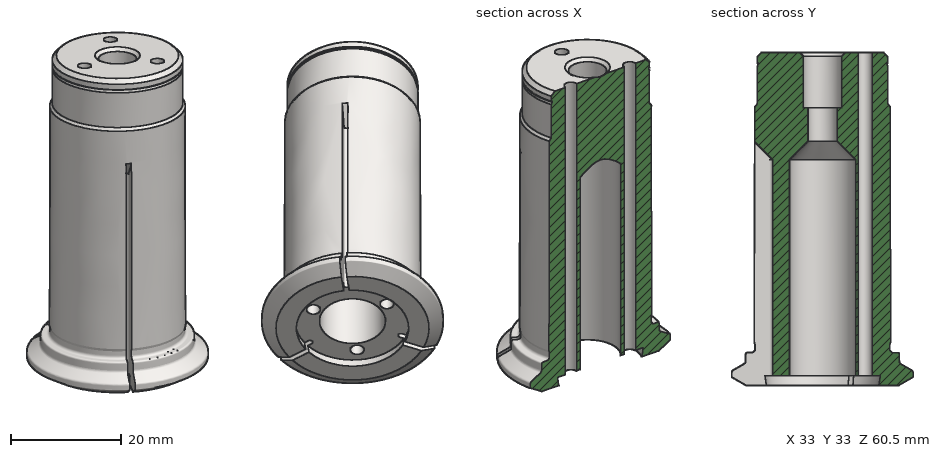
import cadquery as cq
import math

TOTAL_LENGTH = 60.5
FLANGE_RADIUS = 16.5

CONE_ANGLE = math.radians(30)
FRONT_CONE_TOP = 1.5
FLANGE_RIM_TOP = 2.65
FLANGE_ROUND = 0.5
FRONT_EDGE_ROUND = 0.2
COLLAR_RADIUS = 14.0
COLLAR_TOP = 6.0
COLLAR_ROUND = 0.35

NECK_RADIUS = 12.3
NECK_TOP = 7.45
NECK_ROUND = 0.6
BODY_BOTTOM = 7.95
BODY_BOTTOM_RADIUS = 12.45
BODY_TOP = 50.65
BODY_TOP_RADIUS = 12.33

HEAD_RADIUS = 23.8 / 2
HEAD_BOTTOM = 51.2
HEAD_CHAMFER = 0.8
HEAD_GROOVE_BOTTOM = 58.0
HEAD_GROOVE_TOP = 58.55
HEAD_GROOVE_DEPTH = 0.2

SHANK_BORE_RADIUS = 12.0 / 2
SHANK_BORE_DEPTH = 41.0
COOLANT_BORE_RADIUS = 5.2 / 2
SCREW_BORE_RADIUS = 6.92 / 2
SCREW_BORE_DEPTH = 10.0
SCREW_CHAMFER_RADIUS = 8.2 / 2

RECESS_MOUTH_RADIUS = 20.4 / 2
RECESS_FLOOR_RADIUS = 20.92 / 2
RECESS_DEPTH = 1.75

COUNT = 3
HOLE_RADIUS = 2.5 / 2
HOLE_CIRCLE_RADIUS = 7.75
FIRST_HOLE_ANGLE = 0
SLOT_WIDTH = 1.0
SLOT_FLOOR_RADIUS = 9.1
SLOT_FLOOR_TOP = 41.0
FIRST_SLOT_ANGLE = 60


def make_body():
    """Revolved outer shape, with the edges of the flange and collar rounded."""
    slope = math.tan(CONE_ANGLE)
    front_radius = FLANGE_RADIUS - FRONT_CONE_TOP / slope
    collar_bottom = FLANGE_RIM_TOP + (FLANGE_RADIUS - COLLAR_RADIUS) * slope
    profile = (
        cq.Workplane("XZ")
        .lineTo(front_radius, 0)
        .lineTo(FLANGE_RADIUS, FRONT_CONE_TOP)
        .lineTo(FLANGE_RADIUS, FLANGE_RIM_TOP)
        .lineTo(COLLAR_RADIUS, collar_bottom)
        .lineTo(COLLAR_RADIUS, COLLAR_TOP)
        .lineTo(NECK_RADIUS, COLLAR_TOP)
        .lineTo(NECK_RADIUS, NECK_TOP)
        .lineTo(BODY_BOTTOM_RADIUS, BODY_BOTTOM)
        .lineTo(BODY_TOP_RADIUS, BODY_TOP)
        .lineTo(HEAD_RADIUS, HEAD_BOTTOM)
        .lineTo(HEAD_RADIUS, HEAD_GROOVE_BOTTOM)
        .lineTo(HEAD_RADIUS - HEAD_GROOVE_DEPTH, HEAD_GROOVE_TOP)
        .lineTo(HEAD_RADIUS, HEAD_GROOVE_TOP)
        .lineTo(HEAD_RADIUS, TOTAL_LENGTH - HEAD_CHAMFER)
        .lineTo(HEAD_RADIUS - HEAD_CHAMFER, TOTAL_LENGTH)
        .lineTo(0, TOTAL_LENGTH)
        .close()
    )
    body = profile.revolve(360, (0, 0), (0, 1))
    roundings = [
        (FLANGE_RADIUS, FRONT_CONE_TOP, FRONT_EDGE_ROUND),
        (FLANGE_RADIUS, FLANGE_RIM_TOP, FLANGE_ROUND),
        (COLLAR_RADIUS, collar_bottom, FLANGE_ROUND),
        (COLLAR_RADIUS, COLLAR_TOP, COLLAR_ROUND),
        (NECK_RADIUS, COLLAR_TOP, NECK_ROUND),
    ]
    for edge_radius, height, rounding in roundings:
        body = round_edge(body, edge_radius, height, rounding)
    return body


def round_edge(body, edge_radius, height, rounding):
    """Fillet the circular edge of the given radius at the given height."""
    margin = 0.01
    outer_box = centered_box(edge_radius + margin, height, margin)
    inner_box = centered_box(edge_radius - margin, height, margin)
    return body.edges(outer_box - inner_box).fillet(rounding)


def centered_box(half_width, height, half_thickness):
    """Selector for whatever lies in a flat square box centred on the axis."""
    return cq.selectors.BoxSelector(
        (-half_width, -half_width, height - half_thickness),
        (half_width, half_width, height + half_thickness),
        boundingbox=True,
    )


def make_bores():
    cone_top = SHANK_BORE_DEPTH + SHANK_BORE_RADIUS - COOLANT_BORE_RADIUS
    screw_floor = TOTAL_LENGTH - SCREW_BORE_DEPTH
    screw_chamfer = SCREW_CHAMFER_RADIUS - SCREW_BORE_RADIUS
    profile = (
        cq.Workplane("XZ")
        .lineTo(RECESS_MOUTH_RADIUS, 0)
        .lineTo(RECESS_FLOOR_RADIUS, RECESS_DEPTH)
        .lineTo(SHANK_BORE_RADIUS, RECESS_DEPTH)
        .lineTo(SHANK_BORE_RADIUS, SHANK_BORE_DEPTH)
        .lineTo(COOLANT_BORE_RADIUS, cone_top)
        .lineTo(COOLANT_BORE_RADIUS, screw_floor)
        .lineTo(SCREW_BORE_RADIUS, screw_floor)
        .lineTo(SCREW_BORE_RADIUS, TOTAL_LENGTH - screw_chamfer)
        .lineTo(SCREW_CHAMFER_RADIUS, TOTAL_LENGTH)
        .lineTo(0, TOTAL_LENGTH)
        .close()
    )
    return profile.revolve(360, (0, 0), (0, 1))


def make_coolant_holes():
    return (
        cq.Workplane("XY")
        .polarArray(HOLE_CIRCLE_RADIUS, FIRST_HOLE_ANGLE, 360, COUNT)
        .circle(HOLE_RADIUS)
        .extrude(TOTAL_LENGTH)
    )


def make_slot():
    """Slot along +X with a half-round floor and a flat 45 degree run-out at its top."""
    round_center = SLOT_FLOOR_RADIUS + SLOT_WIDTH / 2
    reach = FLANGE_RADIUS - SLOT_FLOOR_RADIUS
    profile = (
        cq.Workplane("XZ", origin=(0, SLOT_WIDTH / 2, 0))
        .moveTo(round_center, 0)
        .lineTo(FLANGE_RADIUS, 0)
        .lineTo(FLANGE_RADIUS, SLOT_FLOOR_TOP + reach)
        .lineTo(SLOT_FLOOR_RADIUS, SLOT_FLOOR_TOP)
        .lineTo(round_center, SLOT_FLOOR_TOP)
        .close()
    )
    floor = cq.Workplane("XY").center(round_center, 0).circle(SLOT_WIDTH / 2).extrude(SLOT_FLOOR_TOP)
    return profile.extrude(SLOT_WIDTH).union(floor)


def cut_slots(body):
    slot = make_slot()
    for index in range(COUNT):
        angle = FIRST_SLOT_ANGLE + index * 360 / COUNT
        body = body.cut(slot.rotate((0, 0, 0), (0, 0, 1), angle))
    return body


sleeve = make_body().cut(make_bores()).cut(make_coolant_holes())
result = cut_slots(sleeve)